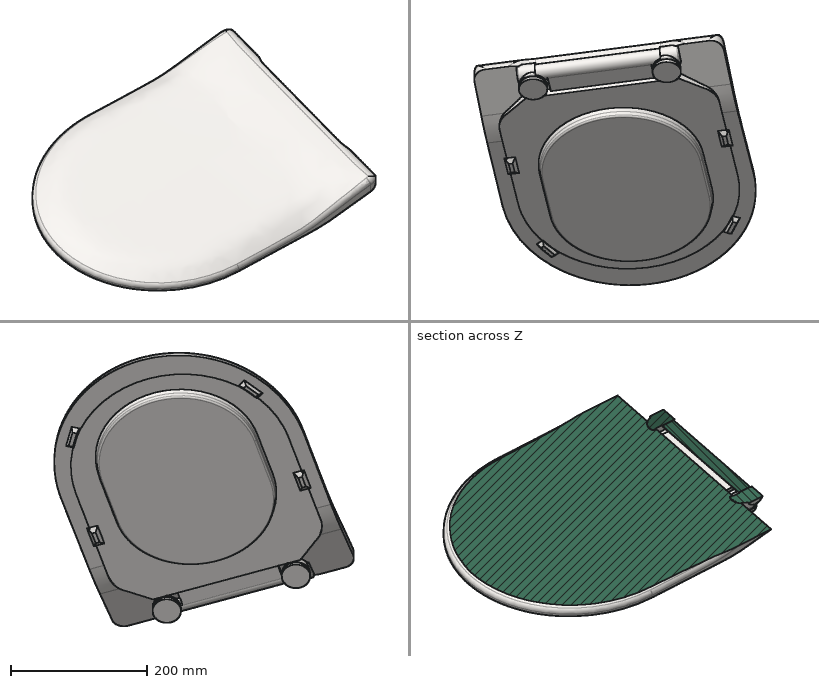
import cadquery as cq
import math

total_length = 454.5
total_width = 374.0
total_height = 58.5
half_length = total_length / 2
half_width = total_width / 2
lid_top_z = total_height / 2
skirt_bottom_z = -total_height / 2
rim_z = -14.0
margin = 22.5

front_center_y = -32.0
front_reach = half_length + front_center_y
rear_half_width = half_width - 1.5
rear_corner_radius = 19.0
rear_round_radius = 38.0 / 2
rear_round_y = half_length - rear_round_radius
rear_round_z = lid_top_z - rear_round_radius
rear_lip_angle = math.radians(-7)
rim_flat_end_y = 100.0
rim_slope_start = (150.0, -8.0)
rim_round_radius = 8.5

ridge_base_z = 15.5
ridge_slope = 0.028
ridge_rise_start_y = 109.0
ridge_rise_length = 95.5
ridge_rise = lid_top_z - ridge_base_z - ridge_slope * rear_round_y
crown = 3.5
edge_front_z = -4.0
edge_rise_start_y = 95.5
edge_rise_slope = 0.29
edge_blend = 18.0
flank_start = 0.74
grid_columns = 40
grid_rows = 48
surface_tolerance = 0.02
blank_margin = 4.5

notch_y = 218.0
notch_inner_x = 93.0
notch_outer_x = 130.5

seat_top_z = 0.0
seat_half_width = 163.5
seat_front_reach = 161.5
seat_corner_start_y = 121.5
seat_corner_mid = (158.5, 141.0)
seat_corner_end = (145.5, 154.5)
seat_rear = (113.5, 180.0)
skirt_half_width = 120.0
skirt_front_y = -165.0
skirt_rear_y = 136.0
skirt_front_center_y = -51.0
skirt_rear_center_y = 24.0
skirt_root_z = -20.0
skirt_flare = 2.0
skirt_draft = 0.5
skirt_round_radius = 2.5

hinge_y = 211.0
hinge_z = 5.0
barrel_radius = 14.0
barrel_round = 2.0
barrel_inner_x = notch_inner_x
barrel_outer_x = 120.5
seat_bar_radius = 12.0
seat_web_half_width = 77.3
seat_web_bottom_z = -6.5

foot_x = 99.5
foot_y = 202.0
foot_disc_diameter = 40.5
foot_disc_top_z = -10.5
column_top_diameter = 36.5
washer_diameter = 42.0
washer_bottom_z = -20.5

side_bumper = dict(x=159.0, y=47.3, turn=0.0, top=(33.0, 16.5), bottom=(18.0, 6.0), bottom_z=-19.0)
front_bumper = dict(x=137.3, y=-129.0, turn=31.5, top=(35.0, 12.0), bottom=(24.0, 6.5), bottom_z=-20.5)


def smooth_step(t):
    t = min(max(t, 0.0), 1.0)
    return t * t * (3 - 2 * t)


def smooth_ramp(distance, softness):
    """Zero for negative distances, equal to the distance for positive ones, with a soft bend."""
    return (distance + math.hypot(distance, softness)) / 2


def lid_height(x, y):
    """Height of the lid's top surface: a ridge with a crown and flanks that fall to the edge."""
    rise = smooth_step((y - ridge_rise_start_y) / ridge_rise_length)
    ridge_z = ridge_base_z + ridge_slope * y + ridge_rise * rise
    edge_z = edge_front_z + edge_rise_slope * smooth_ramp(y - edge_rise_start_y, edge_blend)
    across = x / half_width
    along = min(y - front_center_y, 0.0) / front_reach
    edge_fraction = math.hypot(across, along)
    crown_drop = crown * (1 - rise) * across**2
    flank_height = max(ridge_z - crown_drop - edge_z, 0.0)
    flank = max(edge_fraction - flank_start, 0.0) / (1 - flank_start)
    return ridge_z - crown_drop - flank_height * flank**2


def make_lid_blank():
    """Solid below the curved top surface, wider than the lid on every side."""
    width = total_width + 2 * blank_margin
    length = total_length + 2 * blank_margin
    points = []
    for column in range(grid_columns + 1):
        x = width * (column / grid_columns - 0.5)
        row_points = []
        for row in range(grid_rows + 1):
            y = length * (row / grid_rows - 0.5)
            row_points.append(cq.Vector(x, y, lid_height(x, y)))
        points.append(row_points)
    top = cq.Face.makeSplineApprox(points, tol=surface_tolerance)
    return cq.Workplane(cq.Solid.extrudeLinear(top, cq.Vector(0, 0, -2 * total_height)))


def make_lid_plan():
    """Plan outline of the lid: straight sides, elliptical front and rounded rear corners."""
    plan = (
        cq.Workplane("XY", origin=(0, 0, -total_height))
        .moveTo(half_width, front_center_y)
        .lineTo(rear_half_width, half_length)
        .lineTo(-rear_half_width, half_length)
        .lineTo(-half_width, front_center_y)
        .ellipseArc(half_width, front_reach, 180, 360, startAtCurrent=True)
        .close()
        .extrude(2 * total_height)
    )
    return plan.edges("|Z and >Y").fillet(rear_corner_radius)


def make_lid_side():
    """Side profile of the lid: round rear end and an underside that rises to the rear."""
    lip_y = rear_round_y + rear_round_radius * math.cos(rear_lip_angle)
    lip_z = rear_round_z + rear_round_radius * math.sin(rear_lip_angle)
    mid_angle = (rear_lip_angle + math.pi / 2) / 2
    mid_y = rear_round_y + rear_round_radius * math.cos(mid_angle)
    mid_z = rear_round_z + rear_round_radius * math.sin(mid_angle)
    return (
        cq.Workplane("YZ", origin=(-half_width - margin, 0, 0))
        .moveTo(-half_length - margin, rim_z)
        .lineTo(rim_flat_end_y, rim_z)
        .tangentArcPoint(rim_slope_start, relative=False)
        .lineTo(lip_y, lip_z)
        .threePointArc((mid_y, mid_z), (rear_round_y, lid_top_z))
        .lineTo(-half_length - margin, lid_top_z)
        .close()
        .extrude(total_width + 2 * margin)
    )


def make_rear_notch():
    return (
        cq.Workplane("XY", origin=(0, 0, -total_height))
        .moveTo(-notch_inner_x, notch_y)
        .lineTo(notch_inner_x, notch_y)
        .spline([(notch_outer_x, half_length)], tangents=[(1, 0), (1, 0)], includeCurrent=True)
        .lineTo(notch_outer_x, half_length + margin)
        .lineTo(-notch_outer_x, half_length + margin)
        .lineTo(-notch_outer_x, half_length)
        .spline([(-notch_inner_x, notch_y)], tangents=[(1, 0), (1, 0)], includeCurrent=True)
        .close()
        .extrude(2 * total_height)
    )


def make_lid(seat, feet):
    lid = make_lid_blank().intersect(make_lid_plan())
    top_rim = lid.faces(">Z").edges()
    lid = lid.newObject(top_rim.vals()).fillet(rim_round_radius)
    lid = lid.intersect(make_lid_side()).cut(make_rear_notch()).cut(seat)
    for foot in feet:
        lid = lid.cut(foot)
    return lid


def x_cylinder(radius, start_x, end_x):
    """Cylinder around the hinge axis, from start_x to end_x."""
    return (
        cq.Workplane("YZ", origin=(start_x, 0, 0))
        .center(hinge_y, hinge_z)
        .circle(radius)
        .extrude(end_x - start_x)
    )


def skirt_outline(z, inset):
    """Closed oval wire of the skirt at height z, moved inwards by inset."""
    half_x = skirt_half_width - inset
    front_radius = skirt_front_center_y - skirt_front_y - inset
    rear_radius = skirt_rear_y - skirt_rear_center_y - inset
    return (
        cq.Workplane("XY", origin=(0, 0, z))
        .moveTo(-half_x, skirt_front_center_y)
        .ellipseArc(half_x, front_radius, 180, 360, startAtCurrent=True)
        .lineTo(half_x, skirt_rear_center_y)
        .ellipseArc(half_x, rear_radius, 0, 180, startAtCurrent=True)
        .close()
        .val()
    )


def make_skirt():
    """Oval skirt below the seat: flared at its root, then nearly upright, with a rounded lower rim."""
    outlines = [
        skirt_outline(rim_z, -skirt_flare),
        skirt_outline(skirt_root_z, 0),
        skirt_outline(skirt_bottom_z, skirt_draft),
    ]
    skirt = cq.Workplane(cq.Solid.makeLoft(outlines, True))
    return skirt.faces("<Z").edges().fillet(skirt_round_radius)


def make_seat():
    """Seat plate with an oval skirt below and a hinge bar between the feet."""
    corner_x, corner_y = seat_corner_mid
    end_x, end_y = seat_corner_end
    rear_x, rear_y = seat_rear
    plate = (
        cq.Workplane("XY", origin=(0, 0, rim_z))
        .moveTo(seat_half_width, front_center_y)
        .lineTo(seat_half_width, seat_corner_start_y)
        .threePointArc((corner_x, corner_y), (end_x, end_y))
        .lineTo(rear_x, rear_y)
        .lineTo(-rear_x, rear_y)
        .lineTo(-end_x, end_y)
        .threePointArc((-corner_x, corner_y), (-seat_half_width, seat_corner_start_y))
        .lineTo(-seat_half_width, front_center_y)
        .ellipseArc(seat_half_width, seat_front_reach, 180, 360, startAtCurrent=True)
        .close()
        .extrude(seat_top_z - rim_z)
    )
    web = (
        cq.Workplane("XZ", origin=(0, hinge_y, 0))
        .moveTo(-seat_web_half_width, seat_web_bottom_z)
        .lineTo(seat_web_half_width, seat_web_bottom_z)
        .lineTo(seat_web_half_width, seat_top_z)
        .lineTo(-seat_web_half_width, seat_top_z)
        .close()
        .extrude(hinge_y - front_center_y)
    )
    bar = x_cylinder(seat_bar_radius, -barrel_inner_x, barrel_inner_x)
    return plate.union(make_skirt()).union(web).union(bar)


def make_foot(side):
    """Foot disc with a tapered column that carries the hinge barrel; side is -1 or 1."""
    disc = (
        cq.Workplane("XY", origin=(side * foot_x, foot_y, rim_z))
        .circle(foot_disc_diameter / 2)
        .extrude(foot_disc_top_z - rim_z)
    )
    column = (
        cq.Workplane("XY", origin=(side * foot_x, foot_y, foot_disc_top_z))
        .circle(foot_disc_diameter / 2)
        .workplane(offset=hinge_z - foot_disc_top_z)
        .circle(column_top_diameter / 2)
        .loft()
    )
    start_x, end_x = sorted((side * barrel_inner_x, side * barrel_outer_x))
    column = column.intersect(x_cylinder(foot_disc_diameter, start_x, end_x))
    barrel = x_cylinder(barrel_radius, start_x, end_x)
    barrel = barrel.faces("<X" if side < 0 else ">X").edges().fillet(barrel_round)
    return disc.union(column).union(barrel)


def make_washer(side):
    return (
        cq.Workplane("XY", origin=(side * foot_x, foot_y, washer_bottom_z))
        .circle(washer_diameter / 2)
        .extrude(rim_z - washer_bottom_z)
    )


def make_bumper(side, x, y, turn, top, bottom, bottom_z):
    """Elongated pad below the seat, narrowing downwards and turned to follow the rim."""
    top_length, top_width = top
    bottom_length, bottom_width = bottom
    return (
        cq.Workplane("XY")
        .rect(top_width, top_length)
        .workplane(offset=bottom_z - rim_z)
        .rect(bottom_width, bottom_length)
        .loft(ruled=True)
        .rotate((0, 0, 0), (0, 0, 1), -side * turn)
        .translate((side * x, y, rim_z))
    )


sides = (-1, 1)
seat = make_seat()
feet = [make_foot(side) for side in sides]
washers = [make_washer(side) for side in sides]
bumpers = [make_bumper(side, **size) for size in (side_bumper, front_bumper) for side in sides]
lid = make_lid(seat, feet)

bodies = [lid, seat, *feet, *washers, *bumpers]
result = cq.Compound.makeCompound([body.solids().val() for body in bodies])